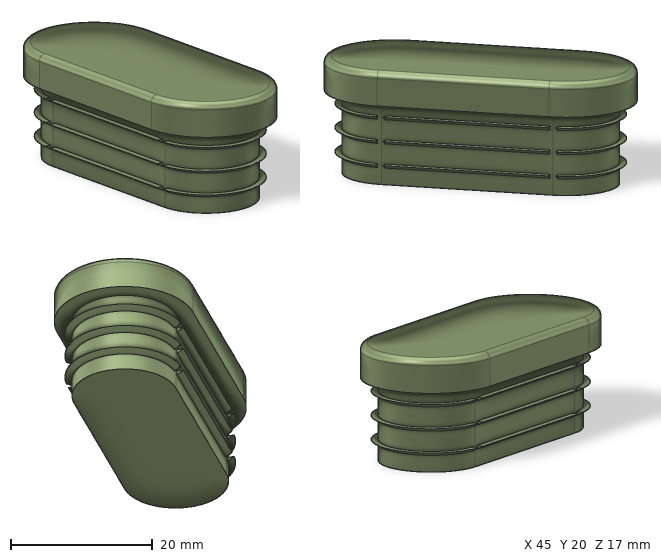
import cadquery as cq
import math

cap_length = 45
cap_width = 20.0
cap_height = 5.0
cap_edge_radius = 1.0
end_spacing = cap_length - cap_width

plug_width = 15.0
plug_height = 12.0

rib_count = 3
rib_overhang = 1.0
rib_slope = 30
rib_thickness = rib_overhang * math.tan(math.radians(rib_slope))
lowest_rib_top = 3.0
rib_pitch = 3.5
straight_side_gap = 0.5
round_end_gap = 0.65


def stadium(width, bottom):
    """Sketch a round-ended outline at the given height."""
    return cq.Workplane("XY").workplane(offset=bottom).slot2D(end_spacing + width, width)


def rib_ring(top):
    """Flared rib, interrupted where the straight sides meet the round ends."""
    ring = stadium(plug_width, top - rib_thickness).extrude(rib_thickness, taper=rib_slope - 90)
    gap_width = straight_side_gap + round_end_gap
    gap_x = (end_spacing + round_end_gap - straight_side_gap) / 2
    gaps = (
        cq.Workplane("XY")
        .workplane(offset=top - rib_thickness)
        .pushPoints([(-gap_x, 0), (gap_x, 0)])
        .rect(gap_width, cap_width)
        .extrude(rib_thickness)
    )
    return ring.cut(gaps)


plug = stadium(plug_width, 0).extrude(plug_height)
cap = stadium(cap_width, plug_height).extrude(cap_height).faces(">Z").edges().fillet(cap_edge_radius)

result = plug.union(cap)
for index in range(rib_count):
    result = result.union(rib_ring(lowest_rib_top + index * rib_pitch))